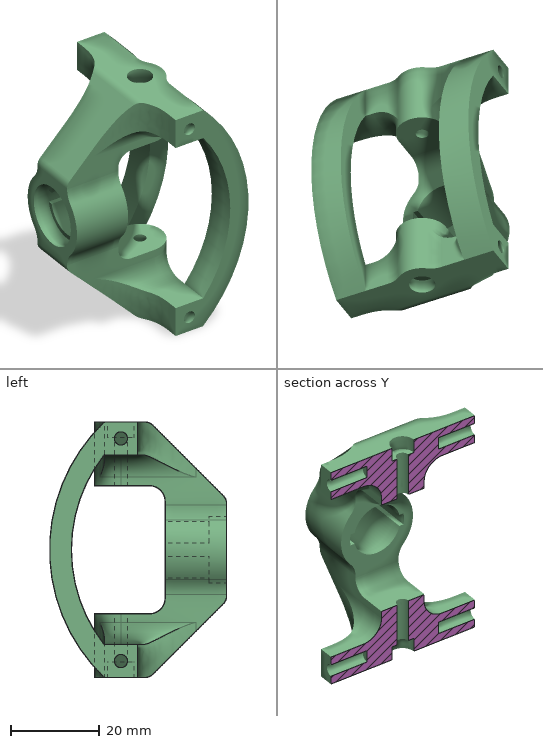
import cadquery as cq
import math


width = 40.0
height = 58.0
half_height = height / 2
bar_height = 7.5
bar_inner_z = half_height - bar_height
bar_depth = 7.5

pivot_y = 24.0
boss_radius = 6.0
boss_inner_z = 14.5
boss_blend = 5.0
pivot_hole_dia = 3.0
pivot_counterbore_dia = 6.0
pivot_counterbore_depth = 3.5
bar_front_y = pivot_y - bar_depth / 2
bar_rear_y = pivot_y + bar_depth / 2

leg_half_width = boss_radius
flare_reach = 11.0
flare_leg_y = 7.0
flare_leg_pull = 4.0
skirt_radius = 5.0
slope_run = 17.5
slope_rounding = 2.5
window_rounding = 3.5

hub_depth = 14.0
hub_radius = 10.0
hub_blend = 5.0
bore_dia = 15.0
lip_dia = 12.8
lip_depth = 4.0
slot_width = 3.0

arm_width = 7.5
arm_outer_radius = 40.0
arm_thickness = 5.0
arm_inner_radius = arm_outer_radius - arm_thickness
arm_center_y = bar_rear_y - math.sqrt(arm_outer_radius**2 - half_height**2)

end_hole_dia = 3.0
end_hole_depth = 10.0
end_hole_z = half_height - bar_height / 2


def arc_middle(center, radius, degrees):
    """Point on a circle at the given angle."""
    angle = math.radians(degrees)
    return (center[0] + radius * math.cos(angle), center[1] + radius * math.sin(angle))


def mirrored_x(point):
    return (-point[0], point[1])


def plan_prism():
    """Plan outline of bar, leg and boss, extruded over the full height."""
    half_width = width / 2
    flare_bar = (leg_half_width + flare_reach, bar_front_y)
    flare_corner = (leg_half_width, bar_front_y)
    flare_pull = (leg_half_width, flare_leg_y + flare_leg_pull)
    flare_leg = (leg_half_width, flare_leg_y)
    flare = [flare_leg, flare_pull, flare_corner, flare_bar]

    center_rise = bar_depth / 2 + boss_blend
    center_reach = boss_radius + boss_blend
    blend_x = math.sqrt(center_reach**2 - center_rise**2)
    blend_center = (blend_x, pivot_y + center_rise)
    boss_angle = math.degrees(math.atan2(center_rise, blend_x))
    blend_boss = arc_middle((0, pivot_y), boss_radius, boss_angle)
    blend_middle = arc_middle(blend_center, boss_blend, (boss_angle + 90) / 2 + 180)
    blend_bar = (blend_x, bar_rear_y)

    return (
        cq.Workplane("XY")
        .workplane(offset=-half_height)
        .moveTo(-leg_half_width, 0)
        .lineTo(leg_half_width, 0)
        .lineTo(*flare_leg)
        .bezier(flare)
        .lineTo(half_width, bar_front_y)
        .lineTo(half_width, bar_rear_y)
        .lineTo(*blend_bar)
        .threePointArc(blend_middle, blend_boss)
        .threePointArc((0, pivot_y + boss_radius), mirrored_x(blend_boss))
        .threePointArc(mirrored_x(blend_middle), mirrored_x(blend_bar))
        .lineTo(-half_width, bar_rear_y)
        .lineTo(-half_width, bar_front_y)
        .lineTo(*mirrored_x(flare_bar))
        .bezier([mirrored_x(point) for point in reversed(flare)])
        .close()
        .extrude(height)
    )


def side_prism():
    """Side outline with the 45 degree slopes and the window behind the hub."""
    rear_y = pivot_y + boss_radius
    slope_z = half_height - slope_run
    outline = (
        cq.Workplane("YZ")
        .polyline([
            (0, -slope_z), (slope_run, -half_height), (rear_y, -half_height),
            (rear_y, half_height), (slope_run, half_height), (0, slope_z),
        ])
        .close()
        .extrude(width / 2, both=True)
    )
    corners = cq.selectors.BoxSelector(
        (-width, -1, -height), (width, slope_run + 1, height)
    )
    outline = outline.edges("|X").edges(corners).fillet(slope_rounding)
    window = (
        cq.Workplane("XY")
        .box(width, 2 * (rear_y - hub_depth), 2 * boss_inner_z)
        .edges("|X")
        .fillet(window_rounding)
        .translate((0, rear_y, 0))
    )
    return outline.cut(window)


def skirt_profile():
    """Half section of bar and leg, with the blend between them, wider than the part."""
    center = (leg_half_width + skirt_radius, bar_inner_z - skirt_radius)
    return (
        cq.Workplane("XZ")
        .moveTo(0, 0)
        .lineTo(leg_half_width, 0)
        .lineTo(leg_half_width, center[1])
        .threePointArc(arc_middle(center, skirt_radius, 135), (center[0], bar_inner_z))
        .lineTo(width, bar_inner_z)
        .lineTo(width, half_height)
        .lineTo(0, half_height)
        .close()
    )


def skirt_body():
    """Upper bar on its leg: straight blends up to the pivot, turned blends around it."""
    straight = skirt_profile().extrude(-pivot_y)
    straight = straight.union(straight.mirror("YZ"))
    turned = skirt_profile().revolve(360, (0, 0, 0), (0, 1, 0)).translate((0, pivot_y, 0))
    return straight.union(turned)


def hub():
    """Round hub with concave blends into the leg sides."""
    center_x = leg_half_width + hub_blend
    center_z = math.sqrt((hub_radius + hub_blend)**2 - center_x**2)
    touch_angle = math.degrees(math.atan2(center_z, center_x))
    touch = arc_middle((0, 0), hub_radius, touch_angle)
    middle = arc_middle((center_x, center_z), hub_blend, 180 + touch_angle / 2)
    web = (
        cq.Workplane("XZ")
        .lineTo(*touch)
        .threePointArc(middle, (leg_half_width, center_z))
        .lineTo(0, center_z)
        .close()
        .extrude(-hub_depth)
    )
    web = web.union(web.mirror("YZ"))
    web = web.union(web.mirror("XY"))
    return cq.Workplane("XZ").circle(hub_radius).extrude(-hub_depth).union(web)


def arms():
    """Two concentric curved arms joining the ends of the bars."""
    ring = (
        cq.Workplane("YZ")
        .center(arm_center_y, 0)
        .circle(arm_outer_radius)
        .circle(arm_inner_radius)
        .extrude(arm_width)
        .translate((width / 2 - arm_width, 0, 0))
    )
    limits = cq.Workplane("XY").box(width, width, height).translate((0, pivot_y + width / 2, 0))
    arm = ring.intersect(limits)
    return arm.union(arm.mirror("YZ"))


def bore_cutter():
    """Stepped bore with two key slots through the lip."""
    bore = cq.Workplane("XZ").circle(bore_dia / 2).extrude(-hub_depth)
    slot = cq.Workplane("XZ").rect(bore_dia, slot_width).extrude(-hub_depth)
    opening = cq.Workplane("XZ").circle(lip_dia / 2).extrude(-hub_depth)
    lip_space = slot.union(opening).intersect(bore)
    front = cq.Workplane("XZ").circle(bore_dia / 2).extrude(-lip_depth)
    return front.union(lip_space)


def pivot_cutter():
    """Pivot hole through both bosses, counterbored from the outer faces."""
    hole = cq.Workplane("XY").circle(pivot_hole_dia / 2).extrude(half_height, both=True)
    counterbore = (
        cq.Workplane("XY")
        .workplane(offset=half_height - pivot_counterbore_depth)
        .circle(pivot_counterbore_dia / 2)
        .extrude(pivot_counterbore_depth)
    )
    cutter = hole.union(counterbore).union(counterbore.mirror("XY"))
    return cutter.translate((0, pivot_y, 0))


def end_hole_cutter():
    """Blind holes in both ends of both bars."""
    hole = (
        cq.Workplane("YZ")
        .workplane(offset=width / 2 - end_hole_depth)
        .center(pivot_y, end_hole_z)
        .circle(end_hole_dia / 2)
        .extrude(end_hole_depth)
    )
    pair = hole.union(hole.mirror("XY"))
    return pair.union(pair.mirror("YZ"))


upper_frame = plan_prism().intersect(side_prism()).intersect(skirt_body())
lower_frame = upper_frame.mirror("XY")
body = upper_frame.union(lower_frame).union(hub()).union(arms())
result = body.cut(bore_cutter()).cut(pivot_cutter()).cut(end_hole_cutter())